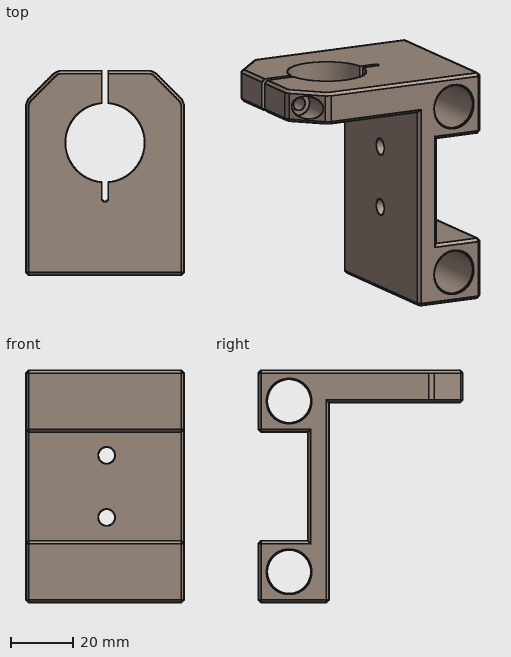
import cadquery as cq
import math

width = 51.0
depth = 66.0
height = 75.0
edge_chamfer = 1.0

arm_thickness = 10.5
block_height = 20.0
web_front = 16.0
web_back = 22.9
corner_cut = 10.0

rod_diameter = 14.0
rod_inset = 10.0
rod_chamfer = 0.3

bore_diameter = 25.5
bore_y = depth - 23.25
slit_width = 2.0
slit_end_y = depth - 42.2

screw_y = depth - 5.0
screw_z = height - arm_thickness / 2
head_diameter = 7.5
head_seat_x = -15.0
clearance_diameter = 4.3
tap_diameter = 3.3
tap_depth = 12.0
drill_point_angle = 118.0

mount_diameter = 5.3
mount_x = 0.5
mount_spacing = 20.0


def cylinder_along_x(start_x, length, diameter, y, z):
    return cq.Workplane("YZ", origin=(start_x, y, z)).circle(diameter / 2).extrude(length)


def make_body():
    """Bracket profile with cut arm corners and chamfered convex edges."""
    arm_bottom = height - arm_thickness
    profile = [
        (0, 0),
        (web_back, 0),
        (web_back, arm_bottom),
        (depth, arm_bottom),
        (depth, height),
        (0, height),
        (0, height - block_height),
        (web_front, height - block_height),
        (web_front, block_height),
        (0, block_height),
    ]
    body = cq.Workplane("YZ").polyline(profile).close().extrude(width / 2, both=True)
    body = body.edges("|Z and >Y").chamfer(corner_cut)

    inside_corners = [
        (web_back, arm_bottom),
        (web_front, block_height),
        (web_front, height - block_height),
    ]
    convex_edges = body.edges()
    for y, z in inside_corners:
        corner = cq.selectors.BoxSelector((-0.75, y - 0.75, z - 0.75), (0.75, y + 0.75, z + 0.75))
        convex_edges = convex_edges.edges(cq.selectors.InverseSelector(corner))
    return convex_edges.chamfer(edge_chamfer)


def make_rod_hole(z):
    """Through hole along X with a small chamfer at both mouths."""
    radius = rod_diameter / 2
    half_width = width / 2
    outline = [
        (-half_width, 0),
        (-half_width, radius + rod_chamfer),
        (-half_width + rod_chamfer, radius),
        (half_width - rod_chamfer, radius),
        (half_width, radius + rod_chamfer),
        (half_width, 0),
    ]
    hole = cq.Workplane("XY").polyline(outline).close().revolve(360, (0, 0, 0), (1, 0, 0))
    return hole.translate((0, rod_inset, z))


def make_clamp_opening():
    """Bore with a slit open to the back and a round-ended relief slot in front."""
    arm_bottom = cq.Workplane("XY", origin=(0, 0, height - arm_thickness))
    bore = arm_bottom.center(0, bore_y).circle(bore_diameter / 2).extrude(arm_thickness)
    end_center_y = slit_end_y + slit_width / 2
    slit_length = depth - end_center_y
    slit = arm_bottom.center(0, end_center_y + slit_length / 2)
    slit = slit.rect(slit_width, slit_length).extrude(arm_thickness)
    slit_end = arm_bottom.center(0, end_center_y).circle(slit_width / 2).extrude(arm_thickness)
    return bore.union(slit).union(slit_end)


def make_screw_hole():
    """Head recess and clearance hole up to the slit, then a blind tapping hole."""
    head = cylinder_along_x(-width / 2, head_seat_x + width / 2, head_diameter, screw_y, screw_z)
    clearance = cylinder_along_x(head_seat_x, -head_seat_x, clearance_diameter, screw_y, screw_z)
    tap_radius = tap_diameter / 2
    point_length = tap_radius / math.tan(math.radians(drill_point_angle / 2))
    tap_end = slit_width / 2 + tap_depth
    outline = [(0, 0), (0, tap_radius), (tap_end, tap_radius), (tap_end + point_length, 0)]
    tap = cq.Workplane("XY").polyline(outline).close().revolve(360, (0, 0, 0), (1, 0, 0))
    return head.union(clearance).union(tap.translate((0, screw_y, screw_z)))


def make_mount_hole(z):
    hole = cq.Workplane("XZ", origin=(mount_x, web_back, z))
    return hole.circle(mount_diameter / 2).extrude(web_back - web_front)


result = make_body()
for rod_z in (rod_inset, height - rod_inset):
    result = result.cut(make_rod_hole(rod_z))
result = result.cut(make_clamp_opening())
result = result.cut(make_screw_hole())
for side in (-1, 1):
    result = result.cut(make_mount_hole(height / 2 + side * mount_spacing / 2))